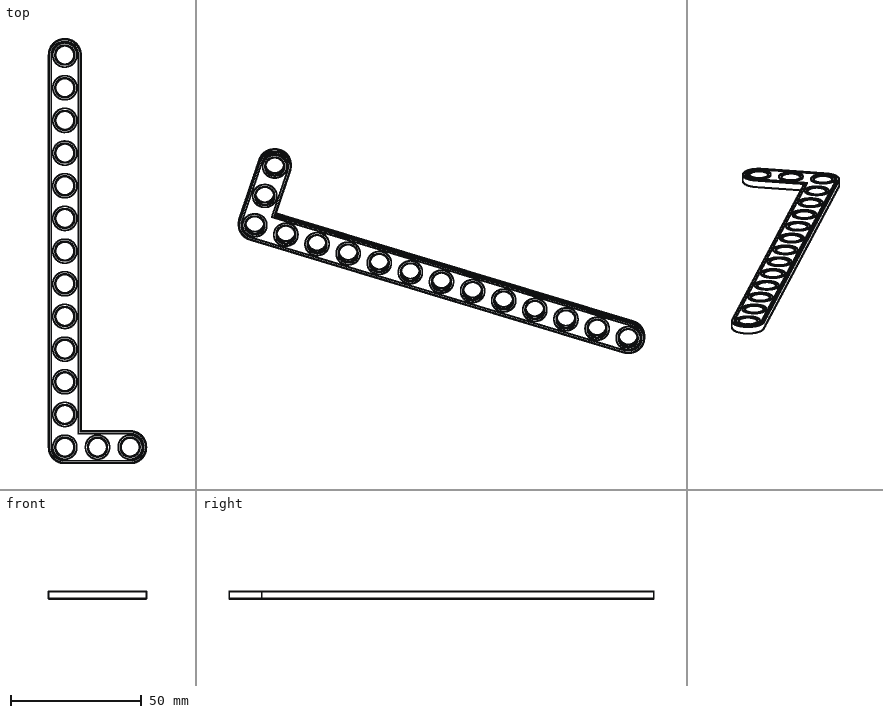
import cadquery as cq

total_length = 162.5
long_arm_holes = 13
short_arm_holes = 3
thickness = 3.1
hole_diameter = 7.0
collar_diameter = 9.3
edge_chamfer = 0.3
rim_width = 1.09
recess_depth = 0.2
hole_chamfer = 0.3

pitch = total_length / long_arm_holes
bar_width = pitch
long_arm_span = (long_arm_holes - 1) * pitch
short_arm_span = (short_arm_holes - 1) * pitch

hole_centres = [(0, row * pitch) for row in range(long_arm_holes)]
hole_centres += [(column * pitch, 0) for column in range(1, short_arm_holes)]


def straight_bar(span, width, height):
    """Round-ended bar along +X, with its first end centred on the origin."""
    return (
        cq.Workplane("XY")
        .center(span / 2, 0)
        .slot2D(span + width, width)
        .extrude(height)
    )


def angled_bar(width, height):
    """L of two round-ended bars that share the corner hole."""
    short_arm = straight_bar(short_arm_span, width, height)
    long_arm = straight_bar(long_arm_span, width, height).rotate((0, 0, 0), (0, 0, 1), 90)
    return short_arm.union(long_arm).clean()


def discs(diameter, height):
    """One upright cylinder at every hole centre."""
    return cq.Workplane("XY").pushPoints(hole_centres).circle(diameter / 2).extrude(height)


def hole_cutters():
    """Through holes with a chamfered mouth at each face."""
    hole_radius = hole_diameter / 2
    mouth_radius = hole_radius + hole_chamfer
    cutter = (
        cq.Workplane("XZ")
        .lineTo(mouth_radius, 0)
        .lineTo(hole_radius, hole_chamfer)
        .lineTo(hole_radius, thickness - hole_chamfer)
        .lineTo(mouth_radius, thickness)
        .lineTo(0, thickness)
        .close()
        .revolve(360, (0, 0, 0), (0, 1, 0))
        .val()
    )
    return cq.Workplane("XY").pushPoints(hole_centres).eachpoint(lambda place: cutter.moved(place))


recess = angled_bar(bar_width - 2 * rim_width, recess_depth).cut(discs(collar_diameter, recess_depth))

body = angled_bar(bar_width, thickness).faces("<Z or >Z").edges().chamfer(edge_chamfer)
body = body.cut(recess).cut(recess.translate((0, 0, thickness - recess_depth)))
result = body.cut(hole_cutters())